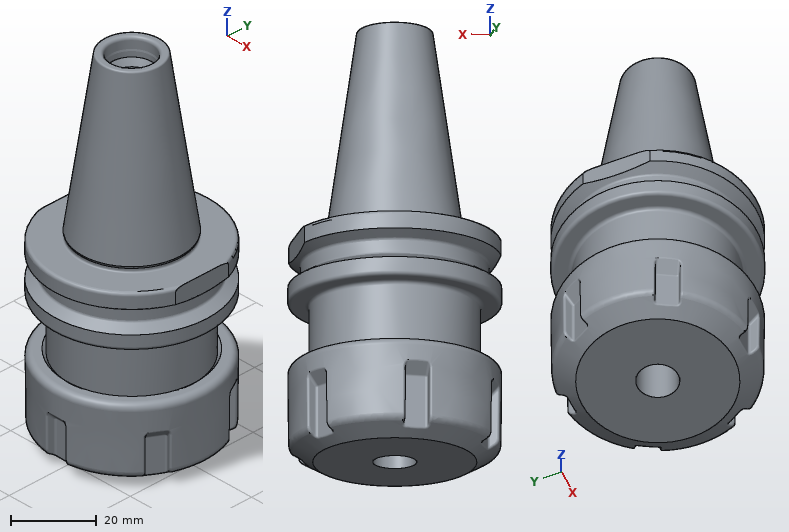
import cadquery as cq
import math


total_height = 104.8
outer_diameter = 50.0
outer_radius = outer_diameter / 2
bevel_slope = math.tan(math.radians(30))

nut_height = 23.0
nut_top_rounding = 1.9
nut_taper = 0.2
nut_bottom_radius = outer_radius - nut_taper
nut_bevel_height = 3.2
nut_face_radius = nut_bottom_radius - nut_bevel_height / bevel_slope
nut_bevel_rounding = 1.9
nut_mouth_bevel = 0.9

neck_radius = 20.0
flange_bottom = 38.0
flange_top = 53.9
flange_rounding = 0.9
neck_rounding = 0.9
groove_radius = 22.0
groove_bottom_edge = 42.4
groove_top_edge = 49.5
groove_flank_height = (outer_radius - groove_radius) * bevel_slope
groove_rounding = 0.6
flat_distance = 23.5

taper_base = 55.6
taper_ratio = 7 / 48
taper_top_radius = 8.9
taper_base_radius = taper_top_radius + (total_height - taper_base) * taper_ratio
relief_radius = 15.8
relief_top = 55.0
relief_rounding = 0.5
taper_top_rounding = 0.5

bore_radius = 5.1
pilot_radius = 6.5
pilot_depth = 3.4
pilot_rounding = 0.9
seat_radius = 6.4
seat_step_depth = 3.9
seat_depth = 5.5
seat_end_depth = 7.3

slot_count = 6
first_slot_angle = 30
half_turn = 180
slot_floor = 22.0
slot_half_width = 2.9
slot_rounding = 0.6
mouth_rounding = 0.5
slot_reach = outer_radius + 1.0
short_slot_top = 15.2
tall_slot_top = 17.4


def round_ring(body, rounding, radius, height):
    """Fillet the circular edges of the given radius lying at the given height."""
    tolerance = 0.01

    def is_ring(edge):
        box = edge.BoundingBox()
        return (
            edge.geomType() == "CIRCLE"
            and abs(edge.radius() - radius) < tolerance
            and abs(box.zmin - height) < tolerance
            and abs(box.zmax - height) < tolerance
        )

    rings = [edge for edge in body.edges().vals() if is_ring(edge)]
    return body.newObject(rings).fillet(rounding)


def make_body():
    profile = [
        (0, 0),
        (nut_face_radius, 0),
        (nut_bottom_radius, nut_bevel_height),
        (outer_radius, nut_height),
        (neck_radius + nut_mouth_bevel, nut_height),
        (neck_radius, nut_height - nut_mouth_bevel),
        (neck_radius, flange_bottom),
        (outer_radius, flange_bottom),
        (outer_radius, groove_bottom_edge),
        (groove_radius, groove_bottom_edge + groove_flank_height),
        (groove_radius, groove_top_edge - groove_flank_height),
        (outer_radius, groove_top_edge),
        (outer_radius, flange_top),
        (relief_radius, flange_top),
        (relief_radius, relief_top),
        (taper_base_radius, taper_base),
        (taper_top_radius, total_height),
        (0, total_height),
    ]
    body = cq.Workplane("XZ").polyline(profile).close().revolve(360, (0, 0), (0, 1))
    body = round_ring(body, nut_bevel_rounding, nut_bottom_radius, nut_bevel_height)
    body = round_ring(body, nut_top_rounding, outer_radius, nut_height)
    body = round_ring(body, flange_rounding, outer_radius, flange_bottom)
    body = round_ring(body, neck_rounding, neck_radius, flange_bottom)
    body = round_ring(body, groove_rounding, groove_radius, groove_bottom_edge + groove_flank_height)
    body = round_ring(body, groove_rounding, groove_radius, groove_top_edge - groove_flank_height)
    body = round_ring(body, flange_rounding, outer_radius, flange_top)
    body = round_ring(body, relief_rounding, relief_radius, flange_top)
    return round_ring(body, taper_top_rounding, taper_top_radius, total_height)


def make_bore():
    """Through bore with a rounded pilot and a conical seat at the shank end."""
    return (
        cq.Workplane("XZ")
        .moveTo(0, 0)
        .lineTo(bore_radius, 0)
        .lineTo(bore_radius, total_height - seat_end_depth)
        .lineTo(seat_radius, total_height - seat_depth)
        .lineTo(seat_radius, total_height - seat_step_depth)
        .lineTo(pilot_radius, total_height - pilot_depth)
        .lineTo(pilot_radius, total_height - pilot_rounding)
        .radiusArc((pilot_radius + pilot_rounding, total_height), pilot_rounding)
        .lineTo(0, total_height)
        .close()
        .revolve(360, (0, 0), (0, 1))
    )


def make_flange_flats():
    """Two blocks that trim the upper flange rim on both X sides."""
    block_width = outer_radius - flat_distance
    block_bottom = groove_top_edge - groove_flank_height
    block = cq.Workplane().box(
        block_width, outer_diameter, flange_top - block_bottom, centered=(False, True, False)
    )
    right_block = block.translate((flat_distance, 0, block_bottom))
    return right_block.union(right_block.mirror("YZ"))


def make_slot(ceiling_height, angle):
    """Slot cutter with rounded inner edges and a ceiling sloping 45 degrees down toward the axis."""
    ceiling_at_floor = ceiling_height - (outer_radius - slot_floor)
    ceiling_at_reach = ceiling_height + (slot_reach - outer_radius)
    side_outline = [
        (slot_floor, 0),
        (slot_reach, 0),
        (slot_reach, ceiling_at_reach),
        (slot_floor, ceiling_at_floor),
    ]
    cutter = cq.Workplane("XZ").polyline(side_outline).close().extrude(slot_half_width, both=True)
    floor_edges = cutter.faces("<X").edges("not <Z")
    ceiling_edges = cutter.edges("not(|X or |Y or |Z)")
    cutter = floor_edges.add(ceiling_edges).fillet(slot_rounding)
    return cutter.rotate((0, 0, 0), (0, 0, 1), angle)


def round_slot_mouths(body):
    """Fillet the long edges where the slot walls meet the tapered outside of the nut."""
    shortest_wall_edge = 5.2

    def is_nut_side(face):
        box = face.BoundingBox()
        return face.geomType() == "CONE" and box.zmax < nut_height and box.xmax > nut_bottom_radius

    def is_wall_edge(edge):
        box = edge.BoundingBox()
        return edge.geomType() != "LINE" and box.zmax - box.zmin > shortest_wall_edge

    nut_sides = [face for face in body.faces().vals() if is_nut_side(face)]
    wall_edges = [edge for face in nut_sides for edge in face.Edges() if is_wall_edge(edge)]
    return body.newObject(wall_edges).fillet(mouth_rounding)


result = make_body().cut(make_bore()).cut(make_flange_flats())
for index in range(slot_count):
    slot_angle = first_slot_angle + index * 360 / slot_count
    ceiling = tall_slot_top if slot_angle < half_turn else short_slot_top
    result = result.cut(make_slot(ceiling, slot_angle))
result = round_slot_mouths(result)